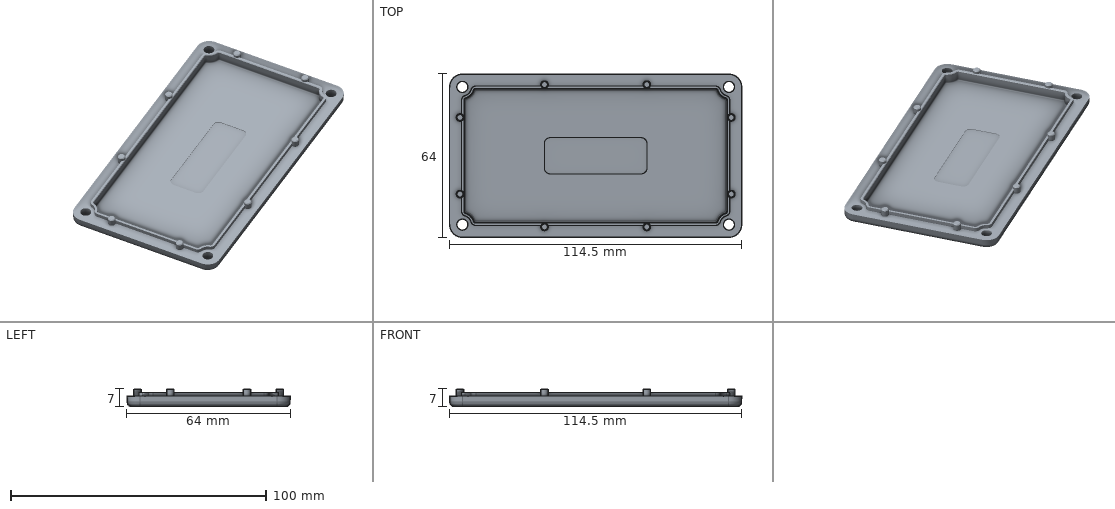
import cadquery as cq

length = 114.5
width = 64.0
total_height = 7.0
corner_radius = 5.2
plate_height = 4.1
side_draft = 2.0
bottom_round = 1.8

rim_top = 5.6
rim_inset = 4.7
rim_wall = 0.9
rim_draft = 2.0
rim_blend = 2.0
rim_relief_radius = 3.5
rim_chamfer = 0.2
rim_chamfer_angle = 45.0
floor_thickness = 1.5
cavity_draft = 1.0
floor_fillet = 0.5

hole_inset = 5.0
hole_diameter = 4.2

pin_inset = 4.1
pin_diameter = 3.0
pin_chamfer = 0.3
long_side_pin_x = 20.0
short_side_pin_y = 15.0

label_length = 40.2
label_width = 14.2
label_radius = 2.3
label_depth = 0.2

hole_x = length / 2 - hole_inset
hole_y = width / 2 - hole_inset
hole_centers = [(x, y) for x in (-hole_x, hole_x) for y in (-hole_y, hole_y)]


def make_plate():
    """Rounded plate narrowing slightly downwards, with a rounded bottom edge."""
    outline = cq.Sketch().rect(length, width).vertices().fillet(corner_radius)
    plate = (
        cq.Workplane("XY")
        .workplane(offset=plate_height)
        .placeSketch(outline)
        .extrude(-plate_height, taper=side_draft)
    )
    return plate.faces("<Z").edges().fillet(bottom_round)


def notched_outline(inset, relief_radius, blend):
    """Rectangle inset from the plate edge, scooped out around each screw hole."""
    return (
        cq.Sketch()
        .rect(length - 2 * inset, width - 2 * inset)
        .push(hole_centers)
        .circle(relief_radius, mode="s")
        .clean()
        .reset()
        .vertices()
        .fillet(blend)
    )


def make_rim():
    """Sealing rim block standing on the plate, slightly narrower at its top."""
    return (
        cq.Workplane("XY")
        .workplane(offset=plate_height)
        .placeSketch(notched_outline(rim_inset, rim_relief_radius, rim_blend))
        .extrude(rim_top - plate_height, taper=rim_draft)
    )


def make_cavity():
    """Cavity narrowing towards a filleted floor, with a chamfered mouth."""
    mouth_inset = rim_inset + rim_wall
    mouth_relief = rim_relief_radius + rim_wall
    mouth_blend = rim_blend - rim_wall
    well_inset = mouth_inset + rim_chamfer
    well_relief = mouth_relief + rim_chamfer
    well_blend = mouth_blend - rim_chamfer
    mouth = (
        cq.Workplane("XY")
        .workplane(offset=rim_top)
        .placeSketch(notched_outline(mouth_inset, mouth_relief, mouth_blend))
        .extrude(-rim_chamfer, taper=rim_chamfer_angle)
    )
    well = (
        cq.Workplane("XY")
        .workplane(offset=rim_top)
        .placeSketch(notched_outline(well_inset, well_relief, well_blend))
        .extrude(floor_thickness - rim_top, taper=cavity_draft)
        .faces("<Z")
        .edges()
        .fillet(floor_fillet)
    )
    return well.union(mouth)


def make_pins():
    """Two chamfered pins along each side, standing on the plate against the rim."""
    pin_x = length / 2 - pin_inset
    pin_y = width / 2 - pin_inset
    centers = [(x, y) for x in (-long_side_pin_x, long_side_pin_x) for y in (-pin_y, pin_y)]
    centers += [(x, y) for x in (-pin_x, pin_x) for y in (-short_side_pin_y, short_side_pin_y)]
    pins = (
        cq.Workplane("XY")
        .workplane(offset=plate_height)
        .pushPoints(centers)
        .circle(pin_diameter / 2)
        .extrude(total_height - plate_height)
    )
    return pins.faces(">Z").edges().chamfer(pin_chamfer)


def make_holes():
    return cq.Workplane("XY").pushPoints(hole_centers).circle(hole_diameter / 2).extrude(total_height)


def make_label_recess():
    outline = cq.Sketch().rect(label_length, label_width).vertices().fillet(label_radius)
    return (
        cq.Workplane("XY")
        .workplane(offset=floor_thickness)
        .placeSketch(outline)
        .extrude(-label_depth)
    )


result = (
    make_plate()
    .union(make_rim())
    .cut(make_cavity())
    .union(make_pins())
    .cut(make_holes())
    .cut(make_label_recess())
)